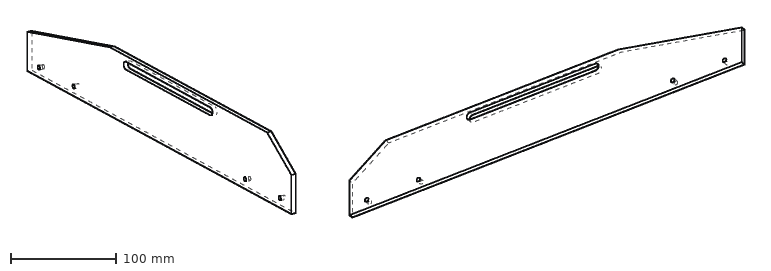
import cadquery as cq

length = 455.0
height = 70.0
thickness = 5.0
end_height = 40.0
left_slope_run = 143.0
right_slope_run = 42.0

hole_diameter = 4.2
hole_height = 10.0
hole_end_distance = 20.0
hole_pair_spacing = 60.0

slot_width = 8.0
slot_arc_spacing = 145.0
slot_length = slot_arc_spacing + slot_width
slot_center_x = 242.5
slot_center_z = 60.0


def front_plane():
    """Sketch plane on the -Y face, with local X and Y along the part's X and Z."""
    return cq.Workplane("XZ")


def make_plate():
    outline = [
        (0, 0),
        (length, 0),
        (length, end_height),
        (length - right_slope_run, height),
        (left_slope_run, height),
        (0, end_height),
    ]
    return front_plane().polyline(outline).close().extrude(-thickness)


def make_mounting_holes():
    inner_distance = hole_end_distance + hole_pair_spacing
    centers = []
    for distance in (hole_end_distance, inner_distance):
        centers.append((distance, hole_height))
        centers.append((length - distance, hole_height))
    return front_plane().pushPoints(centers).circle(hole_diameter / 2).extrude(-thickness)


def make_slot():
    return (
        front_plane()
        .center(slot_center_x, slot_center_z)
        .slot2D(slot_length, slot_width)
        .extrude(-thickness)
    )


result = make_plate().cut(make_mounting_holes()).cut(make_slot())